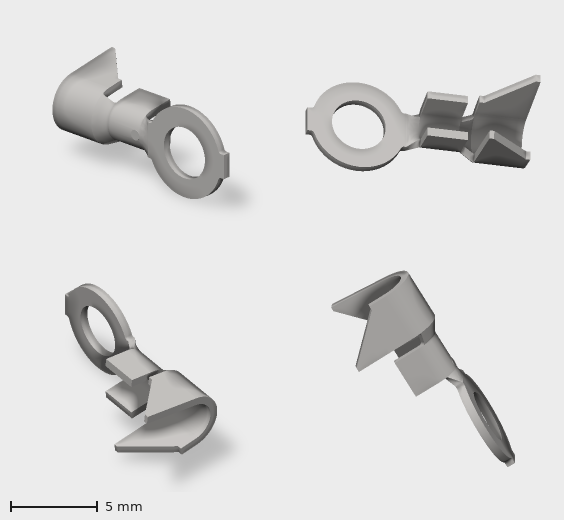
import cadquery as cq
import math

sheet = 0.5

insulation_length = 3.02
wire_start = 3.85
wire_end = 6.24
plate_start = 6.97
overall_length = 12.83

wire_radius = 1.3
insulation_radius = wire_radius + sheet
barrel_axis_y = wire_radius
wire_tilt = 6.4
insulation_tilt = 8.2
wire_tip_y = 2.77
insulation_tip_y = 4.7

wing_flat = 0.27
wing_low_y = 2.2

cone_half_angle = 62.0
cone_corner_radius = 0.15
cone_blank_half_angle = 80.0
trim_width = 1.03
neck_half_width = 1.1

ring_diameter = 5.58
ring_radius = ring_diameter / 2
hole_radius = 1.59
ring_center_x = overall_length - 3.05
tab_half_width = 0.76
ring_corner_radius = 0.19

pad_radius = 0.32
pad_center_x = 5.97
pad_depth = 0.13

clearance = 0.06


def arc_point(radius, angle):
    """(Y, Z) on a barrel circle, with the angle in degrees measured from -Y toward +Z."""
    turn = math.radians(angle)
    return barrel_axis_y - radius * math.cos(turn), radius * math.sin(turn)


def sector_wire(x, outer_radius, half_angle):
    """Curved strip section of one sheet thickness, centred on the barrel axis."""
    inner_radius = outer_radius - sheet
    return (
        cq.Workplane("YZ", origin=(x, 0, 0))
        .moveTo(*arc_point(outer_radius, -half_angle))
        .threePointArc(arc_point(outer_radius, 0), arc_point(outer_radius, half_angle))
        .lineTo(*arc_point(inner_radius, half_angle))
        .threePointArc(arc_point(inner_radius, 0), arc_point(inner_radius, -half_angle))
        .close()
    )


def wing_reach(outer_radius, tilt, y):
    """Length along a wing, from its bend, at which its inner face reaches the given Y."""
    bend_y, _ = arc_point(outer_radius - sheet, 90 - tilt)
    return (y - bend_y) / math.cos(math.radians(tilt))


def wing(outer_radius, tilt, outline):
    """Flat +Z wing; the outline holds (X, distance from the bend) points."""
    turn = math.radians(tilt)
    bend_y, bend_z = arc_point(outer_radius - sheet, 90 - tilt)
    wing_plane = cq.Plane(
        origin=(0, bend_y, bend_z),
        xDir=(1, 0, 0),
        normal=(0, -math.sin(turn), math.cos(turn)),
    )
    return cq.Workplane(wing_plane).polyline(outline).close().extrude(sheet)


def make_insulation_barrel():
    bend = sector_wire(0, insulation_radius, 90 - insulation_tilt).extrude(insulation_length)
    high = wing_reach(insulation_radius, insulation_tilt, insulation_tip_y)
    low = wing_reach(insulation_radius, insulation_tilt, wing_low_y)
    outline = [
        (0, 0),
        (insulation_length, 0),
        (insulation_length, low),
        (insulation_length - wing_flat, low),
        (wing_flat, high),
        (0, high),
    ]
    upper = wing(insulation_radius, insulation_tilt, outline)
    middle_x = insulation_length / 2
    lower = upper.mirror("XY").mirror("YZ", (middle_x, 0, 0))
    return bend.union(upper).union(lower)


def make_wire_barrel():
    bend = sector_wire(wire_start, wire_radius, 90 - wire_tilt).extrude(wire_end - wire_start)
    reach = wing_reach(wire_radius, wire_tilt, wire_tip_y)
    outline = [(wire_start, 0), (wire_end, 0), (wire_end, reach), (wire_start, reach)]
    upper = wing(wire_radius, wire_tilt, outline)
    return bend.union(upper).union(upper.mirror("XY"))


def cone_edge_cutter():
    """Block that trims the cone's +Z edge, with rounded corners against both barrels."""
    length = wire_start - insulation_length
    height = insulation_radius + clearance
    block = (
        cq.Workplane("XY")
        .box(length, height, trim_width, centered=False)
        .edges("|Y and <Z")
        .fillet(cone_corner_radius)
        .translate((insulation_length, -height, 0))
    )
    return block.rotate((0, 0, 0), (1, 0, 0), -cone_half_angle).translate((0, barrel_axis_y, 0))


def make_cone():
    """Conical strip between the two barrels."""
    profile = [
        (insulation_length, barrel_axis_y - insulation_radius),
        (wire_start, barrel_axis_y - wire_radius),
        (wire_start, barrel_axis_y - wire_radius + sheet),
        (insulation_length, barrel_axis_y - insulation_radius + sheet),
    ]
    strip = (
        cq.Workplane("XY")
        .polyline(profile)
        .close()
        .revolve(2 * cone_blank_half_angle, (0, barrel_axis_y), (1, barrel_axis_y))
        .rotate((0, barrel_axis_y, 0), (1, barrel_axis_y, 0), -cone_blank_half_angle)
    )
    cutter = cone_edge_cutter()
    return strip.cut(cutter).cut(cutter.mirror("XY"))


def make_neck():
    """Strip that flattens from the wire barrel's curve to the ring plate."""
    half_angle = math.degrees(math.asin(neck_half_width / wire_radius))
    curved = sector_wire(wire_end, wire_radius, half_angle).val()
    flat = (
        cq.Workplane("YZ", origin=(plate_start, 0, 0))
        .moveTo(0, -neck_half_width)
        .lineTo(0, neck_half_width)
        .lineTo(sheet, neck_half_width)
        .lineTo(sheet, -neck_half_width)
        .close()
        .val()
    )
    return cq.Workplane(cq.Solid.makeLoft([curved, flat], True))


def strip_plate(x_start, x_end, half_width):
    """Flat strip in the plane of the ring, centred on Z = 0."""
    strip = cq.Workplane("XY").box(x_end - x_start, sheet, 2 * half_width, centered=False)
    return strip.translate((x_start, 0, -half_width))


def make_ring():
    ring_plane = cq.Workplane("XZ", origin=(ring_center_x, 0, 0))
    disc = ring_plane.circle(ring_radius).extrude(-sheet)
    hole = ring_plane.circle(hole_radius).extrude(-sheet)
    neck_end = strip_plate(plate_start, ring_center_x, neck_half_width)
    tab = strip_plate(ring_center_x, overall_length, tab_half_width)
    plate = disc.union(neck_end).union(tab)
    inside_corners = cq.selectors.BoxSelector(
        (plate_start + clearance, -clearance, -ring_radius),
        (overall_length - clearance, sheet + clearance, ring_radius),
    )
    return plate.edges("|Y").edges(inside_corners).fillet(ring_corner_radius).cut(hole)


def make_pad():
    return cq.Workplane("XZ", origin=(pad_center_x, 0, 0)).circle(pad_radius).extrude(-pad_depth)


result = (
    make_insulation_barrel()
    .union(make_cone())
    .union(make_wire_barrel())
    .union(make_neck())
    .union(make_ring())
    .union(make_pad())
)